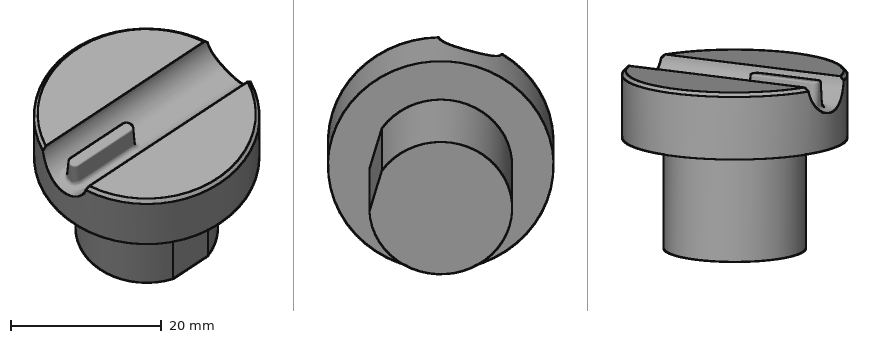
import cadquery as cq
import math

head_diameter = 30
head_height = 9
head_chamfer = 0.5
stem_diameter = 19.0
stem_length = 15
stem_flat_offset = 9
total_height = stem_length + head_height

groove_radius = 4.5
groove_depth = 4.05

rib_top_width = 1.75
rib_length = 10.68
rib_center_y = -7.98
rib_draft = 5.5
rib_corner_radius = 0.85
rib_top_fillet = 0.25
rib_base_fillet = 0.72
rib_embed = 0.6


def make_stem():
    """Round stem with one flat on its +X side."""
    stem = cq.Workplane("XY").circle(stem_diameter / 2).extrude(stem_length)
    cutter = (
        cq.Workplane("XY")
        .center(stem_flat_offset + stem_diameter / 2, 0)
        .rect(stem_diameter, stem_diameter)
        .extrude(stem_length)
    )
    return stem.cut(cutter)


def make_head():
    """Chamfered disc with the round groove cut through it."""
    disc = (
        cq.Workplane("XY")
        .workplane(offset=stem_length)
        .circle(head_diameter / 2)
        .extrude(head_height)
        .faces(">Z")
        .chamfer(head_chamfer)
    )
    groove = (
        cq.Workplane("XZ")
        .center(0, total_height - groove_depth + groove_radius)
        .circle(groove_radius)
        .extrude(head_diameter / 2, both=True)
    )
    return disc.cut(groove)


def make_rib():
    """Bar with drafted long sides, upright ends, rounded corners and a softened top edge."""
    foot_depth = groove_depth + rib_embed
    top_half = rib_top_width / 2
    foot_half = top_half + foot_depth * math.tan(math.radians(rib_draft))
    section = [
        (-foot_half, -foot_depth),
        (foot_half, -foot_depth),
        (top_half, 0),
        (-top_half, 0),
    ]
    rib = (
        cq.Workplane("XZ", origin=(0, rib_center_y, total_height))
        .polyline(section)
        .close()
        .extrude(rib_length / 2, both=True)
    )
    rib = rib.edges("not (|X or |Y)").fillet(rib_corner_radius)
    return rib.faces(">Z").edges().fillet(rib_top_fillet)


def is_rib_foot(edge):
    """True for the edges where the rib meets the groove floor."""
    box = edge.BoundingBox()
    reach_x = rib_top_width
    reach_y = rib_length / 2 + rib_corner_radius
    groove_mid_level = total_height - groove_depth / 2
    return (
        max(-box.xmin, box.xmax) < reach_x
        and box.ymin > rib_center_y - reach_y
        and box.ymax < rib_center_y + reach_y
        and stem_length < box.zmin
        and box.zmax < groove_mid_level
    )


body = make_stem().union(make_head()).union(make_rib())
foot_edges = [edge for edge in body.edges().vals() if is_rib_foot(edge)]
result = body.newObject(foot_edges).fillet(rib_base_fillet)